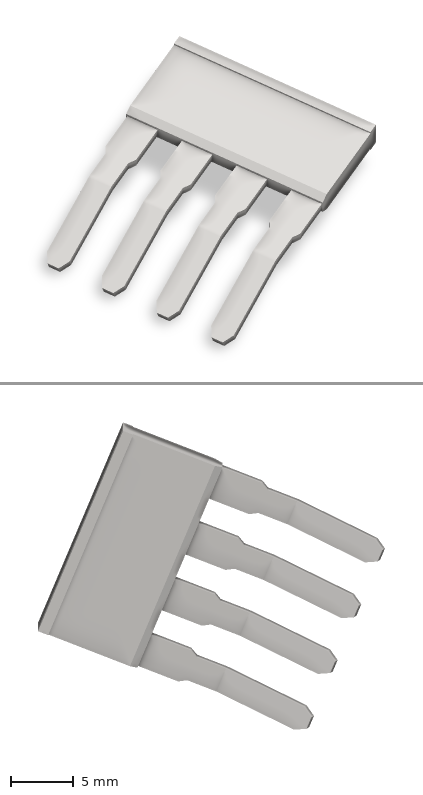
import cadquery as cq
import math

total_length = 22.85
total_height = 3.98

body_width = 18.0
body_depth = 8.53
body_height = 1.97
rail_height = 2.3
rail_depth = 0.87
nose_height = 1.21
nose_chamfer_depth = 0.65

prong_count = 4
prong_pitch = 5.0
prong_thickness = 0.75
root_width = 2.8
blade_width = 2.05
tip_width = 1.03
shoulder_start = 11.98
shoulder_end = 12.62
bend_start = 15.1
bend_angle = 18.0
tip_taper_length = 0.9

bend_radians = math.radians(bend_angle)
bend_sine = math.sin(bend_radians)
bend_cosine = math.cos(bend_radians)
leg_length = (total_length - bend_start - prong_thickness * bend_sine) / bend_cosine

prong_bottom = rail_height / 2 - total_height + leg_length * bend_sine
prong_top = prong_bottom + prong_thickness


def make_body():
    """Extrude the side profile: back rail, slab and chamfered nose."""
    upper_half = [
        (0, rail_height / 2),
        (-rail_depth, rail_height / 2),
        (-rail_depth, body_height / 2),
        (-body_depth + nose_chamfer_depth, body_height / 2),
        (-body_depth, nose_height / 2),
    ]
    lower_half = [(y, -z) for y, z in reversed(upper_half)]
    profile = cq.Workplane("YZ").polyline(upper_half + lower_half).close()
    return profile.extrude(body_width / 2, both=True)


def make_plate(half_outline):
    """Extrude an outline mirrored about X = 0 to the prong thickness."""
    other_half = [(-x, y) for x, y in reversed(half_outline)]
    plane = cq.Workplane("XY").workplane(offset=prong_bottom)
    return plane.polyline(half_outline + other_half).close().extrude(prong_thickness)


def make_bend():
    """Fill the wedge between the straight and bent legs with an outer arc."""

    def outer_point(angle):
        y = -bend_start - prong_thickness * math.sin(angle)
        z = prong_bottom + prong_thickness * math.cos(angle)
        return y, z

    profile = (
        cq.Workplane("YZ")
        .moveTo(-bend_start, prong_bottom)
        .lineTo(-bend_start, prong_top)
        .threePointArc(outer_point(bend_radians / 2), outer_point(bend_radians))
        .close()
    )
    return profile.extrude(blade_width / 2, both=True)


def make_prong():
    """Build one stepped prong whose tapered leg bends down about its lower edge."""
    root = make_plate([
        (root_width / 2, -body_depth / 2),
        (root_width / 2, -shoulder_start),
        (blade_width / 2, -shoulder_end),
        (blade_width / 2, -bend_start),
    ])
    leg_end = bend_start + leg_length
    leg = make_plate([
        (blade_width / 2, -bend_start),
        (blade_width / 2, -leg_end + tip_taper_length),
        (tip_width / 2, -leg_end),
    ])
    pivot = (0, -bend_start, prong_bottom)
    axis_end = (1, -bend_start, prong_bottom)
    leg = leg.rotate(pivot, axis_end, bend_angle)
    return root.union(make_bend()).union(leg)


result = make_body()
prong = make_prong()
for index in range(prong_count):
    prong_x = (index - (prong_count - 1) / 2) * prong_pitch
    result = result.union(prong.translate((prong_x, 0, 0)))